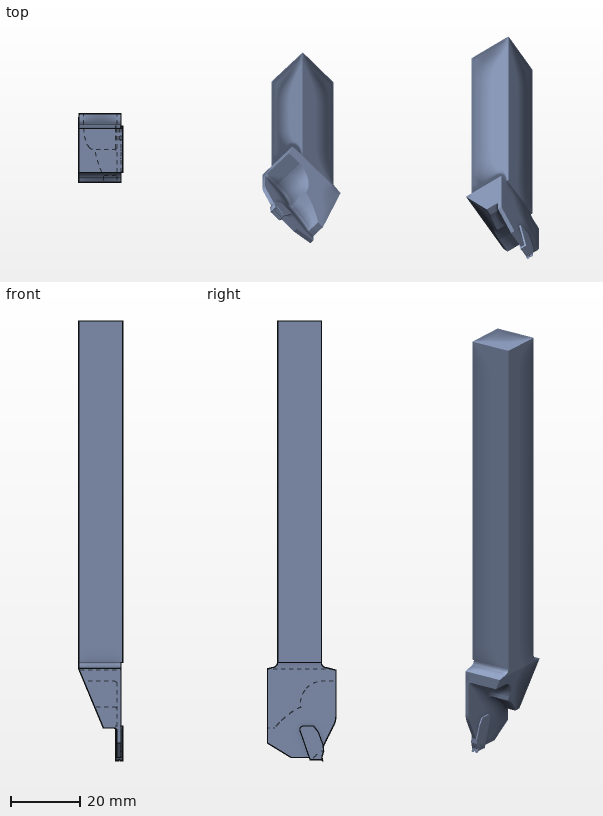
import cadquery as cq

shank_width = 12.7
total_height = 127.0
step_z = 28.5

head_front = -2.9
head_back = 16.9
head_thickness = 12.2
front_shoulder_z = 26.7
back_shoulder_z = 26.3
front_neck = (-1.5, 27.0)
back_neck = (13.8, 27.0)
front_neck_mid = (-0.5, 27.4)
back_neck_mid = (13.1, 27.4)
blade_bottom_z = 1.0
blade_front_z = 5.2
blade_corner_z = 11.7
blade_corner_radius = 6.4

slope_top_z = 26.5
slope_end_x = 7.1
pocket_low_z = 9.5
pocket_high_z = 23.1

blade_x = 11.0
pocket_fillet = 0.9

insert_left_x = 10.7
insert_right_x = shank_width
insert_top_z = 10.2
relief_top_z = 2.9
relief_depth = 0.1
insert_bottom_z = 0.4
groove_width = 0.6
groove_depth = 0.5

cut_margin = 6.4


def make_shank():
    return cq.Workplane("XY").box(
        shank_width, shank_width, total_height - step_z, centered=False
    ).translate((0, 0, step_z))


def make_head_blank():
    """Side outline of head and blade, including the rounds up to the shank."""
    outline = (
        cq.Workplane("YZ")
        .moveTo(0, step_z)
        .threePointArc(front_neck_mid, front_neck)
        .lineTo(head_front, front_shoulder_z)
        .lineTo(head_front, blade_front_z)
        .lineTo(4.0, blade_bottom_z)
        .lineTo(11.5, blade_bottom_z)
        .lineTo(head_back, blade_corner_z)
        .lineTo(head_back, back_shoulder_z)
        .lineTo(*back_neck)
        .threePointArc(back_neck_mid, (shank_width, step_z))
        .close()
    )
    blank = outline.extrude(head_thickness)
    corner_middle = (head_thickness / 2, head_back, blade_corner_z)
    blade_corner = cq.selectors.NearestToPointSelector(corner_middle)
    return blank.edges(blade_corner).fillet(blade_corner_radius)


def make_slope_cut():
    """Wedge that tapers the head from the shank side down to the pocket."""
    return (
        cq.Workplane("XZ", origin=(0, head_back, 0))
        .polyline([(0, slope_top_z), (slope_end_x, pocket_low_z), (0, pocket_low_z)])
        .close()
        .extrude(head_back - head_front)
    )


def make_pocket_cut():
    """Pocket with a curved upper wall and a rounded foot along the blade."""
    outer_back = head_back + cut_margin
    outer_front = head_front - cut_margin
    pocket = (
        cq.Workplane("YZ", origin=(-cut_margin, 0, 0))
        .moveTo(outer_back, pocket_high_z)
        .lineTo(12.5, pocket_high_z)
        .threePointArc((8.6, 21.3), (6.6, 17.0))
        .lineTo(6.6, 15.6)
        .threePointArc((2.9, 13.3), (-0.9, pocket_low_z))
        .lineTo(outer_front, pocket_low_z)
        .lineTo(outer_front, -cut_margin)
        .lineTo(outer_back, -cut_margin)
        .close()
        .extrude(blade_x + cut_margin)
    )
    return pocket.faces(">X").edges().fillet(pocket_fillet)


def make_insert_blank():
    return (
        cq.Workplane("YZ", origin=(insert_left_x, 0, 0))
        .moveTo(10.4, insert_top_z)
        .lineTo(7.5, insert_top_z)
        .threePointArc((6.6, 9.7), (6.6, 8.5))
        .lineTo(9.4, insert_bottom_z)
        .lineTo(12.6, insert_bottom_z)
        .lineTo(13.1, 0)
        .lineTo(12.8, 1.1)
        .lineTo(13.3, relief_top_z)
        .lineTo(13.2, 4.5)
        .lineTo(11.8, 8.3)
        .close()
        .extrude(insert_right_x - insert_left_x)
    )


def make_relief_cut():
    """Shallow side relief beside the cutting tip."""
    return (
        cq.Workplane("YZ", origin=(insert_left_x, 0, 0))
        .polyline([
            (14.0, relief_top_z),
            (12.3, relief_top_z),
            (9.8, insert_bottom_z),
            (12.5, insert_bottom_z),
            (12.8, 1.1),
        ])
        .close()
        .extrude(relief_depth)
    )


def make_groove_cut():
    """V-groove along the lower end of the insert."""
    middle_x = (insert_left_x + insert_right_x) / 2
    return (
        cq.Workplane("XZ", origin=(0, head_back, 0))
        .polyline([
            (middle_x - groove_width / 2, 0),
            (middle_x + groove_width / 2, 0),
            (middle_x, groove_depth),
        ])
        .close()
        .extrude(shank_width)
    )


insert_blank = make_insert_blank()
holder = make_head_blank().cut(make_slope_cut()).cut(make_pocket_cut())
holder = holder.union(make_shank()).cut(insert_blank)
insert = insert_blank.cut(make_relief_cut()).cut(make_groove_cut())

result = cq.Compound.makeCompound([holder.val(), insert.val()])